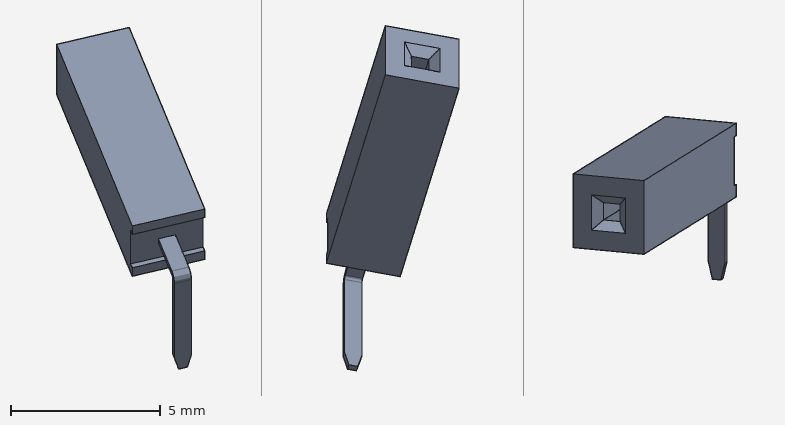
import cadquery as cq

housing_length = 8.5
housing_side = 2.54

notch_depth = 0.18
notch_height = 1.68

funnel_mouth = 1.22
socket_side = 0.6
funnel_depth = 0.3
socket_depth = 3.04

overall_length = 10.13
overall_height = 5.85
strip_width = 0.6
strip_thickness = 0.2
bend_inner_radius = 0.1
bend_outer_radius = bend_inner_radius + strip_thickness
tip_width = 0.3
tip_length = 0.6

tongue_width = 0.54
tongue_length = 0.3

leg_rear_x = overall_length
leg_front_x = leg_rear_x - strip_thickness
leg_bottom_z = housing_side / 2 - overall_height
strip_top_z = strip_thickness / 2
notch_floor_x = housing_length - notch_depth
socket_floor_x = funnel_depth + socket_depth


def make_housing():
    block = cq.Workplane("YZ").rect(housing_side, housing_side).extrude(housing_length)
    notch = (
        cq.Workplane("YZ", origin=(notch_floor_x, 0, 0))
        .rect(housing_side, notch_height)
        .extrude(notch_depth)
    )
    funnel = (
        cq.Workplane("YZ")
        .rect(funnel_mouth, funnel_mouth)
        .workplane(offset=funnel_depth)
        .rect(socket_side, socket_side)
        .loft(ruled=True)
    )
    socket = cq.Workplane("YZ").rect(socket_side, socket_side).extrude(socket_floor_x)
    return block.cut(notch).cut(funnel).cut(socket)


def make_bent_strip():
    strip = (
        cq.Workplane("XZ")
        .moveTo(socket_floor_x, strip_top_z)
        .lineTo(leg_rear_x, strip_top_z)
        .lineTo(leg_rear_x, leg_bottom_z)
        .lineTo(leg_front_x, leg_bottom_z)
        .lineTo(leg_front_x, -strip_top_z)
        .lineTo(socket_floor_x, -strip_top_z)
        .close()
        .extrude(strip_width / 2, both=True)
    )
    outer_corner = cq.NearestToPointSelector((leg_rear_x, 0, strip_top_z))
    inner_corner = cq.NearestToPointSelector((leg_front_x, 0, -strip_top_z))
    strip = strip.edges("|Y").edges(outer_corner).fillet(bend_outer_radius)
    return strip.edges("|Y").edges(inner_corner).fillet(bend_inner_radius)


def make_tip_wedge(side):
    """Wedge removed from one side (+1 or -1) of the leg's tip."""
    return (
        cq.Workplane("YZ", origin=(leg_front_x, 0, 0))
        .moveTo(side * strip_width / 2, leg_bottom_z + tip_length)
        .lineTo(side * strip_width / 2, leg_bottom_z)
        .lineTo(side * tip_width / 2, leg_bottom_z)
        .close()
        .extrude(strip_thickness)
    )


def make_tongue():
    start_x = socket_floor_x - tongue_length
    return (
        cq.Workplane("YZ", origin=(start_x, 0, 0))
        .rect(tongue_width, strip_thickness)
        .extrude(tongue_length)
    )


contact = make_bent_strip()
for side in (-1, 1):
    contact = contact.cut(make_tip_wedge(side))

result = make_housing().union(contact).union(make_tongue())